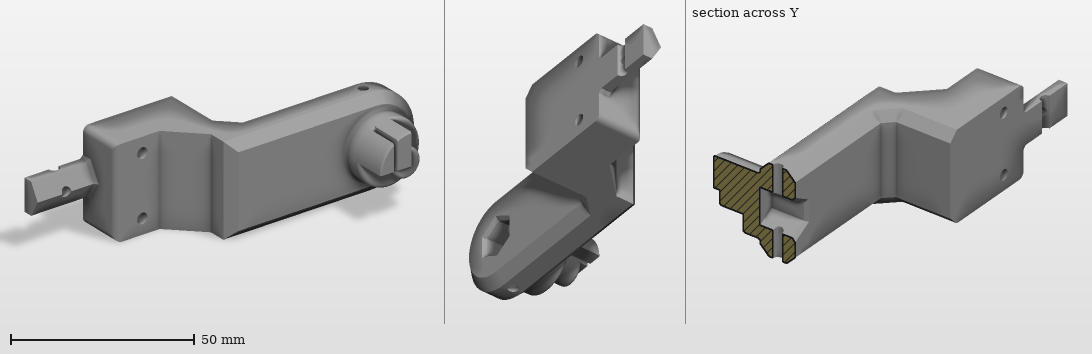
import cadquery as cq
import math


total_length = 110
total_reach = 49.5
width = 30.0
edge_chamfer = 3.0

arm_thickness = 12.0
arm_left_x = 21.6
arm_bottom_y = -50.0
cross_hole_diameter = 3.2

block_depth = 15.0
block_top_y = -41.8
block_bottom_y = -75.0
block_fillet = 2.0
link_bevel = 3.0
link_slope = 10.0
block_hole_diameter = 3.5
block_hole_y = -66
block_hole_spacing = 20.0

shank_radius = 6.0
shank_flare = 1.0
detent_y = -85.0
detent_groove_diameter = 3.4
detent_hole_diameter = 3.2

collar_diameter = 21.0
collar_end_x = 39.5
collar_fillet = 1.0
pin_diameter = 9.5
pin_end_x = 47.5
pin_fillet = 1.0
lug_chamfer = 0.4
slot_width = 1.2
slot_bottom_x = collar_end_x - collar_fillet

socket_flats = 10.5
socket_chamfer = 1.0
socket_depth = arm_thickness

half_width = width / 2
arm_right_x = arm_left_x + arm_thickness
shank_end_y = half_width - total_length


def cylinder_x(diameter, start_x, end_x, y=0, z=0):
    """Cylinder parallel to X."""
    base = cq.Workplane("YZ", origin=(start_x, y, z))
    return base.circle(diameter / 2).extrude(end_x - start_x)


def cylinder_z(diameter, x, y):
    """Cylinder parallel to Z that spans the full width."""
    base = cq.Workplane("XY", origin=(x, y, -half_width))
    return base.circle(diameter / 2).extrude(width)


def make_arm():
    """Plate with a round top, chamfered all around both broad faces."""
    plate = (
        cq.Workplane("YZ", origin=(arm_left_x, 0, 0))
        .moveTo(arm_bottom_y, half_width)
        .lineTo(0, half_width)
        .threePointArc((half_width, 0), (0, -half_width))
        .lineTo(arm_bottom_y, -half_width)
        .close()
        .extrude(arm_thickness)
    )
    plate = plate.faces(">X").chamfer(edge_chamfer)
    return plate.faces("<X").edges("not <Y").chamfer(edge_chamfer)


def link_outline(inset):
    """Block and link outline in XY, its upper edge pulled in by the inset."""
    return [
        (0, block_bottom_y),
        (0, block_top_y - inset),
        (arm_left_x - link_bevel, block_top_y - inset),
        (arm_left_x + inset, block_top_y + link_bevel),
        (arm_right_x - edge_chamfer, block_top_y + link_bevel),
        (arm_right_x - edge_chamfer, arm_bottom_y),
        (block_depth + link_slope, arm_bottom_y),
        (block_depth, arm_bottom_y - link_slope),
        (block_depth, block_bottom_y),
    ]


def make_block():
    """Block with the sloped link; the upper edges narrow toward both sides."""
    core_half = half_width - edge_chamfer
    core = (
        cq.Workplane("XY", origin=(0, 0, -core_half))
        .polyline(link_outline(0))
        .close()
        .extrude(2 * core_half)
    )
    side = (
        cq.Workplane("XY", origin=(0, 0, core_half))
        .polyline(link_outline(0))
        .close()
        .workplane(offset=edge_chamfer)
        .polyline(link_outline(edge_chamfer))
        .close()
        .loft(ruled=True)
    )
    block = core.union(side).union(side.mirror("XY")).clean()
    return block.faces("<Y").edges("not <X").fillet(block_fillet)


def half_hexagon(plane, radius):
    """Half hexagon drawn on an XZ workplane, with its flat side on x = 0."""
    corner_x = radius / 2
    corner_z = radius * math.sin(math.radians(60))
    points = [(0, corner_z), (corner_x, corner_z), (radius, 0), (corner_x, -corner_z), (0, -corner_z)]
    return plane.polyline(points).close()


def make_shank():
    """Half-hexagon shank with a flared root."""
    root_plane = cq.Workplane("XZ", origin=(0, block_bottom_y, 0))
    shank = half_hexagon(root_plane, shank_radius).extrude(block_bottom_y - shank_end_y)
    flare_radius = shank_radius + shank_flare / math.cos(math.radians(30))
    wide_end = half_hexagon(root_plane, flare_radius)
    flare = half_hexagon(wide_end.workplane(offset=shank_flare), shank_radius).loft(ruled=True)
    return shank.union(flare)


def make_drive_end():
    """Collar with a filleted root, a centre pin and a slotted quarter lug."""
    collar = cylinder_x(collar_diameter, arm_right_x, collar_end_x)
    collar = collar.faces(">X").edges().fillet(collar_fillet)
    pin = cylinder_x(pin_diameter, arm_right_x, pin_end_x)
    pin = pin.faces(">X").edges().fillet(pin_fillet)
    quarter = cq.Workplane("XY", origin=(0, -collar_diameter, 0)).box(
        total_reach, collar_diameter, collar_diameter, centered=False
    )
    lug = (
        cylinder_x(collar_diameter, arm_right_x, total_reach)
        .faces(">X")
        .chamfer(lug_chamfer)
        .intersect(quarter)
    )
    slot_start = (slot_bottom_x, -pin_diameter / 2 - slot_width, 0)
    slot = cq.Workplane("XY", origin=slot_start).box(
        total_reach, slot_width, collar_diameter, centered=False
    )
    return collar.union(lug.cut(slot)).union(pin)


def make_collar_root():
    """Concave fillet ring where the collar meets the arm."""
    radius = collar_diameter / 2
    bend = collar_fillet * (1 - math.sqrt(0.5))
    return (
        cq.Workplane("XY")
        .moveTo(arm_right_x, 0)
        .lineTo(arm_right_x, radius + collar_fillet)
        .threePointArc((arm_right_x + bend, radius + bend), (arm_right_x + collar_fillet, radius))
        .lineTo(arm_right_x + collar_fillet, 0)
        .close()
        .revolve(360, (0, 0, 0), (1, 0, 0))
    )


def make_socket():
    """Pointed-up hexagonal socket with a chamfered mouth."""
    corner = socket_flats / math.cos(math.radians(30))
    mouth_corner = (socket_flats + 2 * socket_chamfer) / math.cos(math.radians(30))
    base = cq.Workplane("YZ", origin=(arm_left_x, 0, 0)).transformed(rotate=(0, 0, 90))
    bore = base.polygon(6, corner).extrude(socket_depth)
    mouth = (
        base.polygon(6, mouth_corner)
        .workplane(offset=socket_chamfer)
        .polygon(6, corner)
        .loft(ruled=True)
    )
    return bore.union(mouth)


result = make_arm().union(make_block()).union(make_shank())
result = result.union(make_collar_root()).union(make_drive_end())

result = result.cut(make_socket())
result = result.cut(cylinder_z(cross_hole_diameter, arm_left_x + arm_thickness / 2, 0))

for hole_z in (-block_hole_spacing / 2, block_hole_spacing / 2):
    result = result.cut(cylinder_x(block_hole_diameter, 0, block_depth, block_hole_y, hole_z))

result = result.cut(cylinder_z(detent_groove_diameter, 0, detent_y))
result = result.cut(cylinder_x(detent_hole_diameter, 0, shank_radius, detent_y))